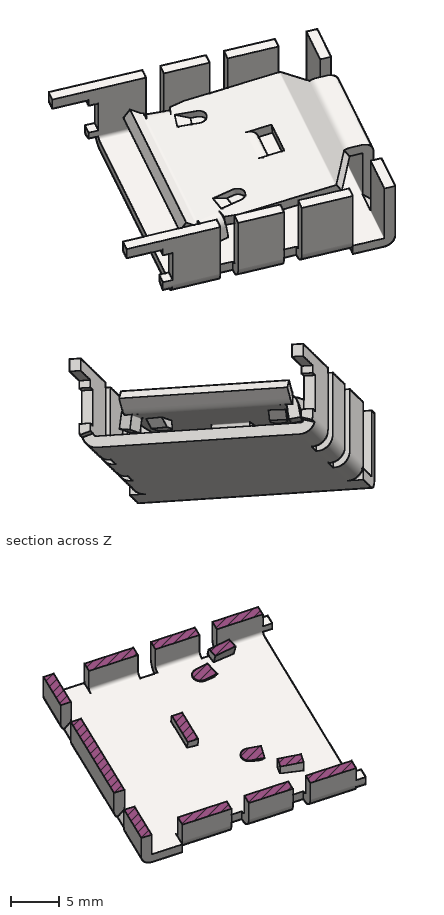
import cadquery as cq
import math

width = 25.0
length = 29.4
height = 8.3
sheet = 1.2
half_width = width / 2
back_y = length / 2
arm_end_y = -length / 2

tight_radius = 0.1
side_radius = 0.45
plate_back_radius = 0.3
lip_radius = 0.45

floor_front_y = -9.67
floor_half_width = 10.73
wall_spans = [(10.05, 4.47), (2.53, -2.5), (-4.45, floor_front_y)]
walls_back_y = wall_spans[0][0]

step_y = -10.73
arm_bottom_z = 6.97
step_bottom_z = 6.17
nub_top_z = 2.35
nub_bend_angle = 17.0

tab_inner_x = 8.05
edge_bend_angle = 45.0

strap_half_width = 5.53
strap_top_length = 1.3
ramp_angle = 30.0
ramp_length = 2.35
plate_half_width = 9.0
plate_slope = 5.0
plate_length = 14.88
lip_rise_angle = 37.0
lip_length = 1.47

splay_angle = 10.0
lug_back = (7.75, 12.3)
lug_width = 2.53
lug_bend_angle = 81.0
lug_leg = 1.47
taper_start = 10.47
taper_length = 1.65
dimple_crease = (6.6, 12.15)
dimple_width = 1.8
dimple_length = 3.23
dimple_ramp = 1.6
dimple_depth = 0.85
window_width = 4.12
window_length = 2.82
window_hinge = 6.03
window_tongue_leg = 1.85

joint_overlap = 0.6


def polar(distance, angle):
    return distance * math.cos(math.radians(angle)), distance * math.sin(math.radians(angle))


def offset(point, distance, angle):
    dx, dy = polar(distance, angle)
    return point[0] + dx, point[1] + dy


def bent_strip(plane, start, heading, steps):
    """Section of a bent sheet, followed along its middle.

    A step (run,) is straight; a step (angle, inner_radius) is a bend, left when positive.
    Returns the closed section on the plane, and the end point and heading of its middle line.
    """
    half = sheet / 2
    left = [(None, offset(start, half, heading + 90))]
    right = [(None, offset(start, half, heading - 90))]
    point = start
    for step in steps:
        left_mid = right_mid = None
        if len(step) == 1:
            point = offset(point, step[0], heading)
        else:
            angle, inner_radius = step
            side = math.copysign(90, angle)
            middle_radius = inner_radius + half
            center = offset(point, middle_radius, heading + side)
            left_radius = middle_radius - math.copysign(half, angle)
            right_radius = middle_radius + math.copysign(half, angle)
            mid_direction = heading + angle / 2 - side
            left_mid = offset(center, left_radius, mid_direction)
            right_mid = offset(center, right_radius, mid_direction)
            heading += angle
            point = offset(center, middle_radius, heading - side)
        left.append((left_mid, offset(point, half, heading + 90)))
        right.append((right_mid, offset(point, half, heading - 90)))

    section = cq.Workplane(plane).moveTo(*left[0][1])
    for mid, end in left[1:]:
        section = section.threePointArc(mid, end) if mid else section.lineTo(*end)
    section = section.lineTo(*right[-1][1])
    for (mid, _), (_, end) in zip(right[:0:-1], right[-2::-1]):
        section = section.threePointArc(mid, end) if mid else section.lineTo(*end)
    return section.close(), point, heading


def both_sides(solid):
    return solid.union(solid.mirror("YZ"))


def yz_plane(x=0.0):
    return cq.Plane(origin=(x, 0, 0), xDir=(0, 1, 0), normal=(1, 0, 0))


def xz_plane(y):
    return cq.Plane(origin=(0, y, 0), xDir=(1, 0, 0), normal=(0, -1, 0))


back_bend_y = back_y - sheet - tight_radius
side_bend_x = half_width - sheet - side_radius
side_bend_z = sheet + side_radius
back_start = (back_bend_y - joint_overlap, sheet / 2)


def floor():
    main = cq.Workplane("XY").box(
        2 * floor_half_width, back_bend_y - floor_front_y, sheet, centered=(True, False, False)
    ).translate((0, floor_front_y, 0))
    back = cq.Workplane("XY").box(
        width, back_bend_y - walls_back_y, sheet, centered=(True, False, False)
    ).translate((0, walls_back_y, 0))
    return main.union(back)


def side_wall(from_y, to_y):
    start = (side_bend_x - joint_overlap, sheet / 2)
    steps = [(joint_overlap,), (90, side_radius), (height - side_bend_z,)]
    section, _, _ = bent_strip(xz_plane(from_y), start, 0, steps)
    return section.extrude(from_y - to_y)


def wall_arm():
    outline = [
        (floor_front_y, height),
        (arm_end_y, height),
        (arm_end_y, arm_bottom_z),
        (step_y, arm_bottom_z),
        (step_y, step_bottom_z),
        (floor_front_y, step_bottom_z),
    ]
    return cq.Workplane(yz_plane(half_width - sheet)).polyline(outline).close().extrude(sheet)


def wall_nub():
    start = offset((side_bend_x, side_bend_z), side_radius + sheet / 2, -nub_bend_angle)
    steps = [(nub_bend_angle, side_radius), (nub_top_z - side_bend_z,)]
    section, _, _ = bent_strip(xz_plane(floor_front_y), start, 90 - nub_bend_angle, steps)
    return section.extrude(floor_front_y - step_y)


def back_tab():
    steps = [(joint_overlap,), (90, tight_radius), (height - sheet - tight_radius,)]
    section, _, _ = bent_strip(yz_plane(tab_inner_x), back_start, 0, steps)
    return section.extrude(half_width - tab_inner_x)


def back_edge():
    steps = [(joint_overlap,), (edge_bend_angle, tight_radius)]
    section, _, _ = bent_strip(yz_plane(), back_start, 0, steps)
    return section.extrude(tab_inner_x, both=True)


strap_steps = [
    (joint_overlap,),
    (90, tight_radius),
    (height - 2 * (sheet + tight_radius),),
    (90, tight_radius),
    (strap_top_length,),
    (ramp_angle, tight_radius),
]
strap_section, ramp_start, ramp_heading = bent_strip(yz_plane(), back_start, 0, strap_steps)
strap = strap_section.extrude(strap_half_width, both=True)


def sloped_plane(middle_point, slope):
    """Plane on the upper face of a sheet that falls toward -Y; its y axis points up the slope."""
    y, z = offset(middle_point, sheet / 2, 90 + slope)
    normal_y, normal_z = polar(1, 90 + slope)
    return cq.Plane(origin=(0, y, z), xDir=(1, 0, 0), normal=(0, normal_y, normal_z))


ramp = (
    cq.Workplane(sloped_plane(ramp_start, ramp_angle))
    .polyline([
        (-strap_half_width, 0),
        (strap_half_width, 0),
        (plate_half_width, -ramp_length),
        (-plate_half_width, -ramp_length),
    ])
    .close()
    .extrude(-sheet)
)

plate_bend_start = offset(ramp_start, ramp_length, ramp_heading)
bend_step = (plate_slope - ramp_angle, plate_back_radius)
_, plate_start, plate_heading = bent_strip(yz_plane(), plate_bend_start, ramp_heading, [bend_step])
plate_steps = [
    bend_step,
    (plate_length,),
    (-plate_slope - lip_rise_angle, lip_radius),
    (lip_length,),
]
plate_section, _, _ = bent_strip(yz_plane(), plate_bend_start, ramp_heading, plate_steps)
plate = plate_section.extrude(plate_half_width, both=True)
plate_plane = sloped_plane(plate_start, plate_slope)


def tab_plane(hinge, direction):
    """Plane across the plate at a bend line; its x axis is the given direction, y the plate's normal."""
    origin = plate_plane.toWorldCoords((*hinge, 0))
    outward = plate_plane.toWorldCoords((*offset(hinge, 0.3, direction), 0)) - origin
    return cq.Plane(origin=origin, xDir=outward, normal=outward.cross(plate_plane.zDir))


def curved_tab(hinge, direction, tab_width, bend_angle, leg):
    """Tab bent down from the plate over a tight radius."""
    steps = [(joint_overlap,), (-bend_angle, tight_radius), (leg,)]
    start = (-joint_overlap, -sheet / 2)
    section, _, _ = bent_strip(tab_plane(hinge, direction), start, 0, steps)
    return section.extrude(tab_width / 2, both=True)


lug_back_point = (lug_back[0], -lug_back[1])
lug_front_point = offset(lug_back_point, lug_width, splay_angle - 90)
lug_middle = offset(lug_back_point, lug_width / 2, splay_angle - 90)
taper_top = (plate_half_width, -taper_start)
taper_foot = offset(taper_top, taper_length, -90 - splay_angle)
notch_outer_x = half_width
lug_notch = (
    cq.Workplane(plate_plane)
    .polyline([
        taper_top,
        taper_foot,
        lug_back_point,
        lug_front_point,
        (lug_front_point[0], -plate_length),
        (notch_outer_x, -plate_length),
        (notch_outer_x, -taper_start),
    ])
    .close()
    .extrude(-sheet)
)
lug = curved_tab(lug_middle, splay_angle, lug_width, lug_bend_angle, lug_leg)

dimple_direction = 90 + splay_angle
dimple_start = (dimple_crease[0], -dimple_crease[1])
dimple_total_depth = dimple_depth + sheet
dimple_ramp_angle = math.atan2(dimple_depth, dimple_ramp)
under_ramp = dimple_ramp - sheet * math.tan(dimple_ramp_angle / 2)


def dimple_part(side_outline):
    """Round-ended column through the plate, limited to an outline seen along the crease."""
    left = offset(dimple_start, dimple_width / 2, dimple_direction + 90)
    right = offset(dimple_start, dimple_width / 2, dimple_direction - 90)
    straight = dimple_length - dimple_width / 2
    column = (
        cq.Workplane(plate_plane)
        .moveTo(*right)
        .lineTo(*offset(right, straight, dimple_direction))
        .threePointArc(
            offset(dimple_start, dimple_length, dimple_direction),
            offset(left, straight, dimple_direction),
        )
        .lineTo(*left)
        .close()
        .extrude(-dimple_total_depth)
    )
    side_section = cq.Workplane(tab_plane(dimple_start, dimple_direction)).polyline(side_outline)
    return column.intersect(side_section.close().extrude(dimple_width, both=True))


dimple_pocket = dimple_part([
    (0, 0),
    (dimple_ramp, -dimple_depth),
    (dimple_length, -dimple_depth),
    (dimple_length, 0),
])
dimple_body = dimple_part([
    (0, 0),
    (0, -sheet),
    (under_ramp, -dimple_total_depth),
    (dimple_length, -dimple_total_depth),
    (dimple_length, 0),
])

window = (
    cq.Workplane(plate_plane)
    .center(0, window_length / 2 - window_hinge)
    .rect(window_width, window_length)
    .extrude(-sheet)
)
window_tongue = curved_tab((0, -window_hinge), 90, window_width, 90, window_tongue_leg)

plate = plate.cut(both_sides(lug_notch)).cut(window)
plate = plate.union(both_sides(dimple_body)).cut(both_sides(dimple_pocket))
plate = plate.union(both_sides(lug)).union(window_tongue)

result = floor().union(back_edge()).union(both_sides(back_tab()))
for wall_back, wall_front in wall_spans:
    result = result.union(both_sides(side_wall(wall_back, wall_front)))
result = result.union(both_sides(wall_arm())).union(both_sides(wall_nub()))
result = result.union(strap).union(ramp).union(plate)